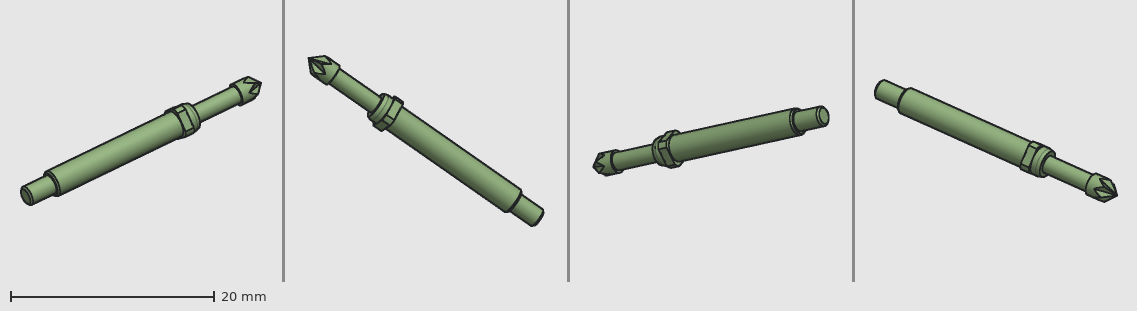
import cadquery as cq
import math


overall_length = 28.3

flange_width = 3.6
flange_across_flats = 3.0
flange_thickness = 1.0

collar_diameter = 3.0
collar_length = 1.02
collar_top_diameter = 2.75
collar_taper_length = 0.42

neck_diameter = 1.8
neck_length = 5.3

head_diameter = 2.3
head_length = 3.0
point_count = 6
ridge_slope = 1.0
valley_end = 2.1

barrel_diameter = 2.72
pin_diameter = 2.0
pin_length = 3.0
barrel_chamfer_length = 0.2
barrel_chamfer_depth = 0.15
pin_chamfer = 0.2

flange_top = flange_thickness
collar_top = flange_top + collar_length
neck_top = collar_top + neck_length
apex = neck_top + head_length
pin_end = apex - overall_length
barrel_end = pin_end + pin_length


def rod(diameter, start, end):
    """Cylinder along Y between two stations."""
    length = end - start
    return cq.Workplane("XZ", origin=(0, start, 0)).circle(diameter / 2).extrude(-length)


def make_flange():
    """Square standing on its corner, with the corners rounded by a circle about the axis."""
    square = (
        cq.Workplane("XZ")
        .transformed(rotate=(0, 0, 45))
        .rect(flange_across_flats, flange_across_flats)
        .extrude(-flange_thickness)
    )
    return square.intersect(rod(flange_width, 0, flange_thickness))


def make_collar():
    """Round collar whose upper end narrows towards the neck."""
    taper_depth = (collar_diameter - collar_top_diameter) / 2
    return rod(collar_diameter, flange_top, collar_top).faces(">Y").chamfer(collar_taper_length, taper_depth)


def make_star_pyramid(height):
    """Pyramid with a star-shaped base, its apex at the tip of the probe."""
    ridge_radius = ridge_slope * height
    valley_radius = head_diameter / 2 * height / valley_end
    corner_count = 2 * point_count
    base = []
    for i in range(corner_count):
        radius = ridge_radius if i % 2 == 0 else valley_radius
        angle = i * 2 * math.pi / corner_count
        base.append(cq.Vector(radius * math.cos(angle), apex - height, radius * math.sin(angle)))
    tip = cq.Vector(0, apex, 0)
    faces = [cq.Face.makeFromWires(cq.Wire.makePolygon(base, close=True))]
    for i in range(corner_count):
        side = cq.Wire.makePolygon([base[i - 1], base[i], tip], close=True)
        faces.append(cq.Face.makeFromWires(side))
    return cq.Workplane(obj=cq.Solid.makeSolid(cq.Shell.makeShell(faces)))


def make_head():
    """Round head ground to ridges and valleys that meet at the apex."""
    return rod(head_diameter, neck_top, apex).intersect(make_star_pyramid(head_length))


pin = rod(pin_diameter, pin_end, barrel_end).faces("<Y").chamfer(pin_chamfer)
barrel = rod(barrel_diameter, barrel_end, 0).faces("<Y").chamfer(barrel_chamfer_length, barrel_chamfer_depth)
neck = rod(neck_diameter, collar_top, neck_top)

result = pin.union(barrel).union(make_flange()).union(make_collar()).union(neck).union(make_head())